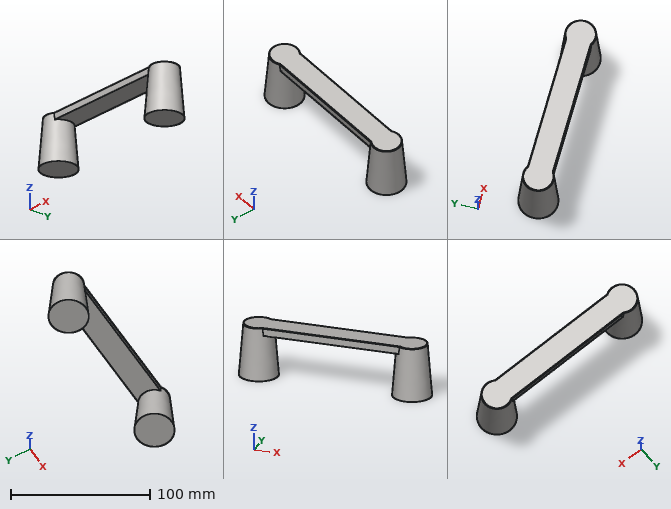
import cadquery as cq

overall_length = 146.0
overall_height = 40.0
post_base_diameter = 29.0
post_top_diameter = 22.6
bar_width = 19.0
bar_thickness = 6.0
top_chamfer = 0.51

post_spacing = overall_length - post_base_diameter


def tapered_post(x):
    """Round post that narrows evenly to its top, with a chamfered top rim."""
    base_radius = post_base_diameter / 2
    top_radius = post_top_diameter / 2
    profile = [
        (0, 0),
        (base_radius, 0),
        (top_radius, overall_height - top_chamfer),
        (top_radius - top_chamfer, overall_height),
        (0, overall_height),
    ]
    post = cq.Workplane("XZ").polyline(profile).close().revolve(360, (0, 0), (0, 1))
    return post.translate((x, 0, 0))


def grip_bar():
    """Flat bar between the post centres, with its long top edges chamfered."""
    bar = cq.Workplane("XY").box(post_spacing, bar_width, bar_thickness, centered=(True, True, False))
    bar = bar.edges("|X and >Z").chamfer(top_chamfer)
    return bar.translate((0, 0, overall_height - bar_thickness))


handle = grip_bar()
for side in (-1, 1):
    handle = handle.union(tapered_post(side * post_spacing / 2))

result = handle.clean()